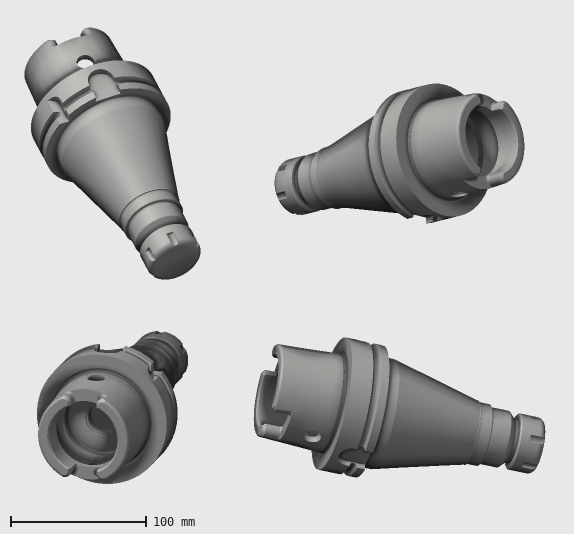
import cadquery as cq
import math

TOTAL_LENGTH = 210.0
CLEARANCE = 2.0
TOLERANCE = 0.2

SHANK_NOSE_RADIUS = 35.0
SHANK_ROOT_RADIUS = 37.4
SHANK_TAPER_END = 47.5
NOSE_FILLET = 2.0
PRONG_CHAMFER = 2.0
RELIEF_RADIUS = 37.0
RELIEF_RAMP = 0.6
RELIEF_FILLET = 1.3
FACE_RECESS_DEPTH = 0.5
FACE_RECESS_RADIUS = 39.5

BORE_RADIUS = 26.2
BORE_LIP_END = 19.7
CLAMP_GROOVE_RADIUS = 31.5
CLAMP_GROOVE_END = 40.7
BORE_DEPTH = 50.5
BORE_FLOOR_FILLET = 1.3
BORE_MOUTH_CHAMFER = 1.3
PILOT_RADIUS = 12.5
PILOT_STEP_RADIUS = 11.3
PILOT_DEPTH = 10.5
PILOT_STEP_LENGTH = 1.7

DRIVE_SLOT_WIDTH = 19.5
UPPER_SLOT_DEPTH = 9.9
LOWER_SLOT_DEPTH = 14.5
SLOT_FLOOR_FILLET = 1.9
PRONG_RADIUS = 5.0
PRONG_SHOULDER = 31.5
SLOT_REACH = SHANK_ROOT_RADIUS + CLEARANCE

CROSS_HOLE_RADIUS = 6.5
CROSS_HOLE_X = 34.9

FLANGE_START = 50.0
FLANGE_END = 79.0
FLANGE_RADIUS = 50.0
GROOVE_CENTER_X = 69.7
GROOVE_HALF_WIDTH = 3.2
GROOVE_BOTTOM_RADIUS = 46.2
GROOVE_FLANK_ANGLE = 22.0
GROOVE_FILLET = 1.0

KEYWAY_WIDTH = DRIVE_SLOT_WIDTH
KEYWAY_START = 55.2
KEYWAY_FLOOR = 44.5
NOTCH_START = 55.0
NOTCH_OFFSET = 31.5
NOTCH_CORNER_RADIUS = 8.0

NECK_RADIUS = 41.5
NECK_FILLET = 0.8
CONE_START = 89.2
CONE_END = 157.0
CONE_END_RADIUS = 24.4
CONE_LAND = 0.8
COLLAR_RADIUS = 23.3
COLLAR_FILLET = 0.6
COLLAR_END = 167.5
COLLAR_CHAMFER = 0.5
BARREL_RADIUS = 21.5
BARREL_RELIEF_DEPTH = 0.5
BARREL_RELIEF_LENGTH = 1.7
BARREL_END = 182.5
BARREL_FILLET = 1.5
SPINDLE_RADIUS = 16.8
SPINDLE_FILLET = 1.7

NUT_START = 190.0
NUT_RADIUS = 21.2
NUT_CHAMFER = 1.0
NUT_NOSE_FILLET = 5.0
NUT_SLOT_COUNT = 6
NUT_SLOT_START = 198.0
NUT_SLOT_RADIUS = 3.0
NUT_SLOT_CENTER_RADIUS = 21.8


def revolve_about_x(profile):
    """Turn a closed profile (X along the axis, Y as the radius) into a solid of revolution."""
    return profile.close().revolve(360, (0, 0, 0), (1, 0, 0))


def turned_blank():
    """The holder's outside, from the shank nose to the face that carries the nut."""
    recess_floor = FLANGE_START + FACE_RECESS_DEPTH
    collar_start = CONE_END + CONE_LAND
    relief_radius = BARREL_RADIUS - BARREL_RELIEF_DEPTH
    relief_end = COLLAR_END + BARREL_RELIEF_LENGTH
    taper_end = BARREL_END + BARREL_RADIUS - SPINDLE_RADIUS
    barrel_tangent = BARREL_FILLET * math.tan(math.pi / 8)
    spindle_tangent = SPINDLE_FILLET * math.tan(math.pi / 8)
    barrel_drop = barrel_tangent * math.sin(math.pi / 4)
    spindle_rise = spindle_tangent * math.sin(math.pi / 4)
    profile = (
        cq.Workplane("XY")
        .lineTo(0, SHANK_NOSE_RADIUS - NOSE_FILLET)
        .radiusArc((NOSE_FILLET, SHANK_NOSE_RADIUS), NOSE_FILLET)
        .lineTo(SHANK_TAPER_END, SHANK_ROOT_RADIUS)
        .lineTo(SHANK_TAPER_END + RELIEF_RAMP, RELIEF_RADIUS)
        .lineTo(recess_floor - RELIEF_FILLET, RELIEF_RADIUS)
        .radiusArc((recess_floor, RELIEF_RADIUS + RELIEF_FILLET), -RELIEF_FILLET)
        .lineTo(FLANGE_START, FACE_RECESS_RADIUS)
        .lineTo(FLANGE_START, FLANGE_RADIUS)
        .lineTo(FLANGE_END, FLANGE_RADIUS)
        .lineTo(FLANGE_END, NECK_RADIUS + NECK_FILLET)
        .radiusArc((FLANGE_END + NECK_FILLET, NECK_RADIUS), -NECK_FILLET)
        .lineTo(CONE_START, NECK_RADIUS)
        .lineTo(CONE_END, CONE_END_RADIUS)
        .lineTo(collar_start, CONE_END_RADIUS)
        .lineTo(collar_start, COLLAR_RADIUS + COLLAR_FILLET)
        .radiusArc((collar_start + COLLAR_FILLET, COLLAR_RADIUS), -COLLAR_FILLET)
        .lineTo(COLLAR_END - COLLAR_CHAMFER, COLLAR_RADIUS)
        .lineTo(COLLAR_END, COLLAR_RADIUS - COLLAR_CHAMFER)
        .lineTo(COLLAR_END, relief_radius)
        .lineTo(relief_end - BARREL_RELIEF_DEPTH, relief_radius)
        .lineTo(relief_end, BARREL_RADIUS)
        .lineTo(BARREL_END - barrel_tangent, BARREL_RADIUS)
        .radiusArc((BARREL_END + barrel_drop, BARREL_RADIUS - barrel_drop), BARREL_FILLET)
        .lineTo(taper_end - spindle_rise, SPINDLE_RADIUS + spindle_rise)
        .radiusArc((taper_end + spindle_tangent, SPINDLE_RADIUS), -SPINDLE_FILLET)
        .lineTo(NUT_START, SPINDLE_RADIUS)
        .lineTo(NUT_START, 0)
    )
    return revolve_about_x(profile)


def slot_outline(x, growth):
    """Closed outline of a drive slot in the plane at x, with its walls moved outward by growth.

    Each wall rises straight, then flares outward round the prong to a level shoulder.
    """
    half_width = DRIVE_SLOT_WIDTH / 2 + growth
    flare_radius = PRONG_RADIUS - growth
    shoulder = PRONG_SHOULDER - growth
    flare_start = shoulder - flare_radius
    flare_width = half_width + flare_radius
    return (
        cq.Workplane("YZ", origin=(x, 0, 0))
        .moveTo(-half_width, 0)
        .lineTo(half_width, 0)
        .lineTo(half_width, flare_start)
        .radiusArc((flare_width, shoulder), flare_radius)
        .lineTo(SLOT_REACH, shoulder)
        .lineTo(SLOT_REACH, SLOT_REACH)
        .lineTo(-SLOT_REACH, SLOT_REACH)
        .lineTo(-SLOT_REACH, shoulder)
        .lineTo(-flare_width, shoulder)
        .radiusArc((-half_width, flare_start), flare_radius)
        .close()
    )


def drive_slot(depth):
    """Cutter for a drive slot in the +Z wall: rounded along the floor, chamfered at the mouth."""
    cutter = slot_outline(0, 0).extrude(depth)
    wall_feet = [
        edge
        for edge in cutter.faces(">X").edges().vals()
        if 0 < edge.Center().z < PRONG_SHOULDER + TOLERANCE
        and abs(edge.Center().y) < SLOT_REACH - TOLERANCE
    ]
    cutter = cutter.newObject(wall_feet).fillet(SLOT_FLOOR_FILLET)
    mouth = cq.Solid.makeLoft(
        [slot_outline(0, PRONG_CHAMFER).val(), slot_outline(PRONG_CHAMFER, 0).val()], True
    )
    return cutter.union(cq.Workplane(mouth))


def bore():
    """Cutter for the stepped bore, with the clamping groove behind its lip and a pilot at its floor."""
    floor_radius = BORE_RADIUS - BORE_FLOOR_FILLET
    pilot_step = BORE_DEPTH + PILOT_STEP_LENGTH
    pilot_end = BORE_DEPTH + PILOT_DEPTH
    profile = (
        cq.Workplane("XY")
        .lineTo(0, BORE_RADIUS + BORE_MOUTH_CHAMFER)
        .lineTo(BORE_MOUTH_CHAMFER, BORE_RADIUS)
        .lineTo(BORE_LIP_END, BORE_RADIUS)
        .lineTo(BORE_LIP_END, CLAMP_GROOVE_RADIUS)
        .lineTo(CLAMP_GROOVE_END, CLAMP_GROOVE_RADIUS)
        .lineTo(CLAMP_GROOVE_END, BORE_RADIUS)
        .lineTo(BORE_DEPTH - BORE_FLOOR_FILLET, BORE_RADIUS)
        .radiusArc((BORE_DEPTH, floor_radius), BORE_FLOOR_FILLET)
        .lineTo(BORE_DEPTH, PILOT_RADIUS)
        .lineTo(pilot_step, PILOT_RADIUS)
        .lineTo(pilot_step, PILOT_STEP_RADIUS)
        .lineTo(pilot_end, PILOT_STEP_RADIUS)
        .lineTo(pilot_end, 0)
    )
    return revolve_about_x(profile)


def cross_hole():
    """Hole along Z through both walls of the shank."""
    return (
        cq.Workplane("XY")
        .center(CROSS_HOLE_X, 0)
        .circle(CROSS_HOLE_RADIUS)
        .extrude(SHANK_ROOT_RADIUS + CLEARANCE, both=True)
    )


def gripper_groove():
    """V-groove around the flange with a rounded bottom."""
    depth = FLANGE_RADIUS - GROOVE_BOTTOM_RADIUS
    bottom_half_width = GROOVE_HALF_WIDTH - depth * math.tan(math.radians(GROOVE_FLANK_ANGLE))
    profile = cq.Workplane("XY").polyline(
        [
            (GROOVE_CENTER_X - GROOVE_HALF_WIDTH, FLANGE_RADIUS),
            (GROOVE_CENTER_X - bottom_half_width, GROOVE_BOTTOM_RADIUS),
            (GROOVE_CENTER_X + bottom_half_width, GROOVE_BOTTOM_RADIUS),
            (GROOVE_CENTER_X + GROOVE_HALF_WIDTH, FLANGE_RADIUS),
        ]
    )
    ring = revolve_about_x(profile)
    reach = GROOVE_BOTTOM_RADIUS + TOLERANCE
    bottom_edges = cq.selectors.BoxSelector(
        (FLANGE_START, -reach, -reach), (FLANGE_END, reach, reach), boundingbox=True
    )
    return ring.edges(bottom_edges).edges("%CIRCLE").fillet(GROOVE_FILLET)


def keyway(side):
    """Round-ended keyway cutter on the +Z (side = 1) or -Z (side = -1) side of the flange."""
    end_radius = KEYWAY_WIDTH / 2
    center_x = KEYWAY_START + end_radius
    return (
        cq.Workplane("XY")
        .workplane(offset=side * KEYWAY_FLOOR)
        .moveTo(center_x, -end_radius)
        .lineTo(FLANGE_END, -end_radius)
        .lineTo(FLANGE_END, end_radius)
        .lineTo(center_x, end_radius)
        .threePointArc((KEYWAY_START, 0), (center_x, -end_radius))
        .close()
        .extrude(side * FLANGE_RADIUS)
    )


def index_notch():
    """Corner notch between -Y and +Z with a vertical rounded end."""
    return (
        cq.Workplane("XY")
        .box(FLANGE_END - NOTCH_START, FLANGE_RADIUS, FLANGE_RADIUS, centered=False)
        .edges("|Z and <X and >Y")
        .fillet(NOTCH_CORNER_RADIUS)
        .translate((NOTCH_START, -NOTCH_OFFSET - FLANGE_RADIUS, NOTCH_OFFSET))
    )


def holder_body():
    """The tool holder: turned blank with its bore, slots, keyways and notch."""
    body = turned_blank().cut(gripper_groove()).cut(bore()).cut(cross_hole())
    body = body.cut(drive_slot(UPPER_SLOT_DEPTH)).cut(drive_slot(LOWER_SLOT_DEPTH).mirror("XY"))
    for side in (1, -1):
        body = body.cut(keyway(side))
    return body.cut(index_notch())


def nut_body():
    """The clamping nut, with round-bottomed wrench slots around its nose."""
    profile = (
        cq.Workplane("XY")
        .moveTo(NUT_START, 0)
        .lineTo(NUT_START, NUT_RADIUS - NUT_CHAMFER)
        .lineTo(NUT_START + NUT_CHAMFER, NUT_RADIUS)
        .lineTo(TOTAL_LENGTH - NUT_NOSE_FILLET, NUT_RADIUS)
        .radiusArc((TOTAL_LENGTH, NUT_RADIUS - NUT_NOSE_FILLET), NUT_NOSE_FILLET)
        .lineTo(TOTAL_LENGTH, 0)
    )
    body = revolve_about_x(profile)
    slot = (
        cq.Workplane("YZ")
        .workplane(offset=NUT_SLOT_START)
        .center(0, NUT_SLOT_CENTER_RADIUS)
        .circle(NUT_SLOT_RADIUS)
        .extrude(TOTAL_LENGTH - NUT_SLOT_START)
    )
    for index in range(NUT_SLOT_COUNT):
        body = body.cut(slot.rotate((0, 0, 0), (1, 0, 0), index * 360 / NUT_SLOT_COUNT))
    return body


holder = holder_body()
nut = nut_body()

result = cq.Compound.makeCompound([holder.val(), nut.val()])